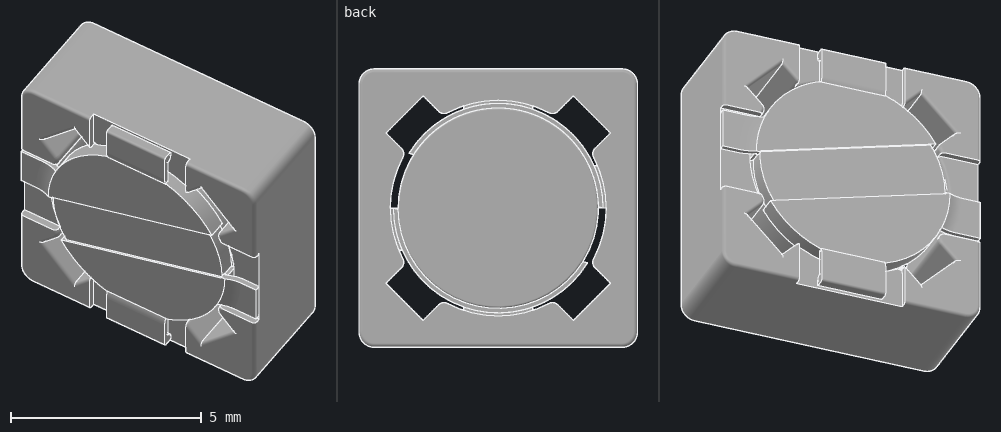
import cadquery as cq
import math


housing_side = 7.3
housing_depth = 3.0
corner_radius = 0.41
rim_radius = 0.1
bore_radius = 2.825
pocket_half_width = 0.685
pocket_reach = 3.47
pocket_lip_radius = 0.2
recess_depth = 0.205
end_recess_half_width = 1.5
side_recess_half_width = 1.255
mouth_margin = 0.22
selection_slack = 0.01

core_radius = 5.25 / 2
core_front = 0.0
core_rear = 3.095
flange_thickness = 0.46
flange_rim_radius = 0.05
winding_radius = 2.52
hub_radius = 1.24

cap_radius = 2.745
cap_front = -0.05
gap_half_width = 0.745
gap_angle = math.degrees(math.asin(gap_half_width / cap_radius))
flange_back = core_front + flange_thickness
sheet = 0.15

end_tab_half_width = 0.905
end_tab_front = -0.1
end_tab_root = 2.57
end_tab_bend_end = 2.795
end_tab_tip = 3.59
tip_front_radius = 0.07
tip_foot_radius = 0.06
tip_inside_radius = 0.14

side_tab_width = 1.11
side_tab_bend_radius = 3.18


def disc(radius, front, rear):
    """Round disc about the Y axis."""
    return cq.Workplane("XZ", origin=(0, front, 0)).circle(radius).extrude(front - rear)


def block(x_range, y_range, z_range):
    """Axis-aligned box given by its limits."""
    size = [high - low for low, high in (x_range, y_range, z_range)]
    return cq.Workplane().box(*size, centered=False).translate((x_range[0], y_range[0], z_range[0]))


def make_cavity():
    """Bore with four corner pockets, running right through the housing."""
    cavity = disc(bore_radius, 0, housing_depth)
    for angle in (45, 135):
        pocket = block(
            (-pocket_reach, pocket_reach), (0, housing_depth), (-pocket_half_width, pocket_half_width)
        )
        cavity = cavity.union(pocket.rotate((0, 0, 0), (0, 1, 0), angle))
    lips = cq.selectors.BoxSelector(
        (-bore_radius, 0, -bore_radius), (bore_radius, housing_depth, bore_radius)
    )
    return cavity.edges("|Y").edges(lips).fillet(pocket_lip_radius)


def make_shell(front, cavity):
    """Square ring from `front` to the rear face, with the mouth of its cavity rounded."""
    half = housing_side / 2
    outer = block((-half, half), (0, housing_depth), (-half, half)).edges("|Y").fillet(corner_radius)
    outer = outer.faces("<Y or >Y").edges().fillet(rim_radius)
    ring = outer.cut(cavity).intersect(block((-half, half), (front, housing_depth), (-half, half)))
    limit = half - mouth_margin
    mouth = cq.selectors.BoxSelector(
        (-limit, front - selection_slack, -limit), (limit, front + selection_slack, limit)
    )
    return ring.faces("<Y").edges(mouth).fillet(rim_radius)


def make_housing():
    """Shell with a recess across each side; the -X recess floor keeps a sharp bore edge."""
    half = housing_side / 2
    cavity = make_cavity()
    depth = (0, recess_depth)
    width = (-end_recess_half_width, end_recess_half_width)
    height = (-side_recess_half_width, side_recess_half_width)
    recesses = block(width, depth, (-half, half)).union(block((-half, half), depth, height))
    full_depth = (0, housing_depth)
    rounded_floors = block(width, full_depth, (-half, half)).union(block((0, half), full_depth, height))
    floors = make_shell(recess_depth, cavity).intersect(rounded_floors)
    return make_shell(0, cavity).cut(recesses).cut(rounded_floors).union(floors)


def make_core():
    """Drum: two flanges joined by a hub."""
    front_flange = disc(core_radius, core_front, flange_back)
    hub = disc(hub_radius, core_front, core_rear)
    rear_flange = disc(core_radius, core_rear - flange_thickness, core_rear)
    rear_flange = rear_flange.faces(">Y").edges().fillet(flange_rim_radius)
    return front_flange.union(hub).union(rear_flange)


def make_winding():
    """Ring filling the space between the flanges."""
    rear = core_rear - flange_thickness
    return disc(winding_radius, flange_back, rear).cut(disc(hub_radius, flange_back, rear))


def make_cap():
    """Shell over the front flange, on the upper side of the bare band."""
    shell = disc(cap_radius, cap_front, flange_back).cut(disc(core_radius, core_front, flange_back))
    keep = block(
        (-cap_radius, cap_radius), (cap_front, flange_back), (gap_half_width, cap_radius)
    ).rotate((0, 0, 0), (0, 1, 0), -gap_angle)
    return shell.intersect(keep)


def bend_radius(run, rise):
    """Radius of an arc that starts tangent to a flat and climbs `rise` over `run`."""
    return (run**2 + rise**2) / (2 * rise)


def arc_middle(run, rise):
    """Halfway point of that arc, as distances from its tangent end."""
    radius = bend_radius(run, rise)
    half_turn = math.asin(run / radius) / 2
    return radius * math.sin(half_turn), radius * (1 - math.cos(half_turn))


def make_end_tab():
    """Tab rising from the cap to the top edge, its tip bent back to the recess floor."""
    back = end_tab_front + sheet
    mid_run, mid_rise = arc_middle(end_tab_bend_end - end_tab_root, cap_front - end_tab_front)
    tip_inside = end_tab_tip - sheet
    profile = (
        cq.Workplane("YZ")
        .moveTo(cap_front, end_tab_root)
        .threePointArc(
            (end_tab_front + mid_rise, end_tab_bend_end - mid_run), (end_tab_front, end_tab_bend_end)
        )
        .lineTo(end_tab_front, end_tab_tip)
        .lineTo(recess_depth, end_tab_tip)
        .lineTo(recess_depth, tip_inside)
        .lineTo(back + tip_inside_radius, tip_inside)
        .radiusArc((back, tip_inside - tip_inside_radius), tip_inside_radius)
        .lineTo(back, end_tab_root)
        .close()
    )
    tab = profile.extrude(end_tab_half_width, both=True)
    tab = tab.faces(">Z").edges("<Y").fillet(tip_front_radius)
    tab = tab.faces(">Z").edges(">Y").fillet(tip_foot_radius)
    return tab.cut(disc(core_radius, core_front, core_rear))


def make_side_tab():
    """Tab on the -X side, dished from the cap down to the recess floor."""
    half = housing_side / 2
    flat = recess_depth - sheet
    mid_run, mid_rise = arc_middle(side_tab_bend_radius - cap_radius, flat - cap_front)
    profile = (
        cq.Workplane("XY")
        .moveTo(cap_radius, cap_front)
        .threePointArc((side_tab_bend_radius - mid_run, flat - mid_rise), (side_tab_bend_radius, flat))
        .lineTo(housing_side, flat)
        .lineTo(housing_side, recess_depth)
        .lineTo(side_tab_bend_radius, recess_depth)
        .threePointArc(
            (side_tab_bend_radius - mid_run, recess_depth - mid_rise), (cap_radius, cap_front + sheet)
        )
        .lineTo(core_radius, cap_front + sheet)
        .lineTo(core_radius, cap_front)
        .close()
    )
    dished = profile.revolve(360, (0, 0, 0), (0, 1, 0))
    return dished.intersect(block((-half, 0), (cap_front, recess_depth), (0, side_tab_width)))


def make_terminal():
    """Upper terminal: cap with its end tab and its side tab."""
    return make_cap().union(make_end_tab()).union(make_side_tab())


housing = make_housing()
core = make_core()
winding = make_winding()
terminals = [make_terminal().rotate((0, 0, 0), (0, 1, 0), turn) for turn in (0, 180)]

result = cq.Compound.makeCompound(
    [housing.val(), core.val(), winding.val(), *[terminal.val() for terminal in terminals]]
)